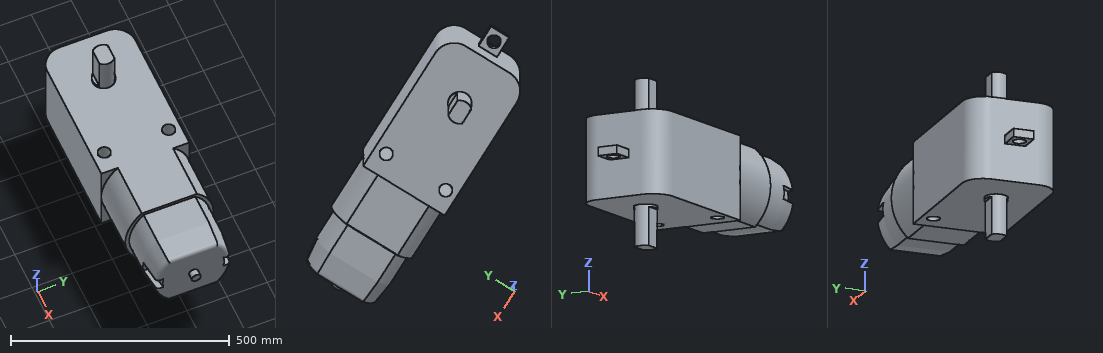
import cadquery as cq


overall_length = 710.0

box_length = 362.0
box_width = 220.0
box_height = 199.0
corner_radius = 51.0

tab_length = 54.0
tab_width = 50.0
tab_thickness = 20.0
screw_hole_diameter = 30.5
screw_hole_x = 310.0
screw_hole_spacing = 160.5

sleeve_length = 138.5
sleeve_height = 184.5
sleeve_flat_width = 138.0
sleeve_end_x = box_length + sleeve_length
motor_axis_z = (box_height - sleeve_height) / 2

motor_width = 200.0
motor_height = 167.5
motor_flat_width = 129.0
motor_straight_length = 79.0
motor_cap_length = 60.0
cap_taper_degrees = 7.0
cap_edge_radius = 9.0
stub_diameter = 23.0
stub_length = overall_length - tab_length - sleeve_end_x - motor_straight_length - motor_cap_length

recess_height = 31.0
recess_depth = 16.0

shaft_x = 121.0
shaft_length = 392.0
shaft_diameter = 55.0
shaft_across_flats = 37.5
collar_height = 6.0


def barrel_profile(start_x, width, height, flat_width):
    """Closed outline across X: flat top and bottom, bulging arcs on both sides."""
    half_flat = flat_width / 2
    half_width = width / 2
    half_height = height / 2
    return (
        cq.Workplane("YZ", origin=(start_x, 0, motor_axis_z))
        .moveTo(-half_flat, -half_height)
        .lineTo(half_flat, -half_height)
        .threePointArc((half_width, 0), (half_flat, half_height))
        .lineTo(-half_flat, half_height)
        .threePointArc((-half_width, 0), (-half_flat, -half_height))
        .close()
    )


def make_housing():
    box = (
        cq.Workplane("XY")
        .box(box_length, box_width, box_height, centered=(False, True, True))
        .edges("|Z and <X")
        .fillet(corner_radius)
    )
    tab = cq.Workplane("XY").box(2 * tab_length, tab_width, tab_thickness)
    sleeve = barrel_profile(box_length, box_width, sleeve_height, sleeve_flat_width).extrude(sleeve_length)
    hole_centres = [
        (-tab_length / 2, 0),
        (screw_hole_x, -screw_hole_spacing / 2),
        (screw_hole_x, screw_hole_spacing / 2),
    ]
    screw_holes = (
        cq.Workplane("XY")
        .pushPoints(hole_centres)
        .circle(screw_hole_diameter / 2)
        .extrude(box_height / 2, both=True)
    )
    shaft_bore = (
        cq.Workplane("XY", origin=(shaft_x, 0, 0))
        .circle(shaft_diameter / 2)
        .extrude(box_height / 2, both=True)
    )
    return box.union(tab).union(sleeve).cut(screw_holes).cut(shaft_bore)


def make_cap_recesses(start_x):
    """Slots in both curved sides of the cap, with a floor that follows the tapered side."""
    slot = cq.Workplane("XY", origin=(start_x, 0, motor_axis_z)).box(
        motor_cap_length, motor_width, recess_height, centered=(False, True, True)
    )
    core_width = motor_width - 2 * recess_depth
    core_flat_width = motor_flat_width - 2 * recess_depth
    core = barrel_profile(start_x, core_width, motor_height, core_flat_width).extrude(
        motor_cap_length, taper=cap_taper_degrees
    )
    return slot.cut(core)


def make_motor():
    cap_start_x = sleeve_end_x + motor_straight_length
    can = barrel_profile(sleeve_end_x, motor_width, motor_height, motor_flat_width).extrude(
        motor_straight_length
    )
    cap = (
        barrel_profile(cap_start_x, motor_width, motor_height, motor_flat_width)
        .extrude(motor_cap_length, taper=cap_taper_degrees)
        .faces(">X")
        .edges()
        .fillet(cap_edge_radius)
        .cut(make_cap_recesses(cap_start_x))
    )
    stub = (
        cq.Workplane("YZ", origin=(cap_start_x, 0, motor_axis_z))
        .circle(stub_diameter / 2)
        .extrude(motor_cap_length + stub_length)
    )
    return can.union(cap).union(stub)


def make_shaft():
    """Round shaft through the housing, with two flats on each protruding end."""
    flatted_bar = (
        cq.Workplane("XY", origin=(shaft_x, 0, 0))
        .box(shaft_diameter, shaft_across_flats, shaft_length)
    )
    round_bar = (
        cq.Workplane("XY", origin=(shaft_x, 0, 0))
        .circle(shaft_diameter / 2)
        .extrude(shaft_length / 2, both=True)
    )
    round_middle = (
        cq.Workplane("XY", origin=(shaft_x, 0, 0))
        .circle(shaft_diameter / 2)
        .extrude(box_height / 2 + collar_height, both=True)
    )
    return round_bar.intersect(flatted_bar).union(round_middle)


housing = make_housing()
motor = make_motor()
shaft = make_shaft()

result = cq.Compound.makeCompound([housing.solids().val(), motor.solids().val(), shaft.solids().val()])